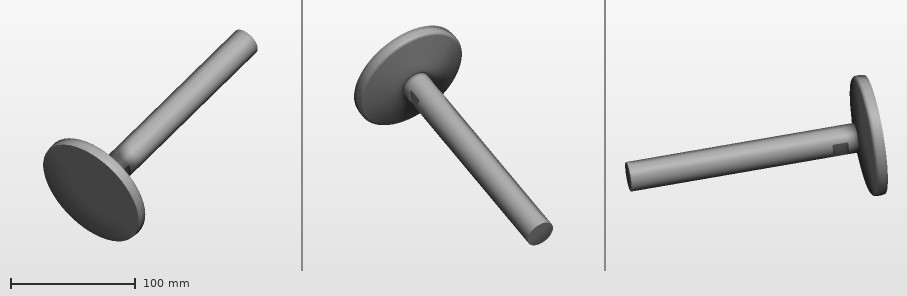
import cadquery as cq
import math

total_length = 202.0
pad_radius = 98.0 / 2
pad_face_radius = 48.5
rim_start = 3.8
rim_end = 6.9
shoulder_top = 9.9
cone_top = 15.4
cone_top_radius = 13.1

shaft_radius = 24.0 / 2
neck_radius = 23.8 / 2
neck_end = 16.5

flat_start = 23.8
flat_end = 36.8
across_flats = 19.0

shoulder_radius = shoulder_top - rim_end
shoulder_centre = pad_radius - shoulder_radius
shoulder_mid = (
    shoulder_centre + shoulder_radius * math.cos(math.pi / 4),
    rim_end + shoulder_radius * math.sin(math.pi / 4),
)

foot = (
    cq.Workplane("XY")
    .moveTo(0, 0)
    .lineTo(pad_face_radius, 0)
    .lineTo(pad_radius, rim_start)
    .lineTo(pad_radius, rim_end)
    .threePointArc(shoulder_mid, (shoulder_centre, shoulder_top))
    .lineTo(cone_top_radius, cone_top)
    .lineTo(neck_radius, cone_top)
    .lineTo(neck_radius, neck_end)
    .lineTo(shaft_radius, neck_end)
    .lineTo(shaft_radius, total_length)
    .lineTo(0, total_length)
    .close()
    .revolve(360, (0, 0), (0, 1))
)


def flat_cutter(side):
    """Block that removes the shaft material outside one wrench flat."""
    block_size = 2 * shaft_radius
    return (
        cq.Workplane("XY")
        .box(block_size, flat_end - flat_start, block_size)
        .translate((side * (across_flats + block_size) / 2, (flat_start + flat_end) / 2, 0))
    )


for side in (-1, 1):
    foot = foot.cut(flat_cutter(side))

result = foot